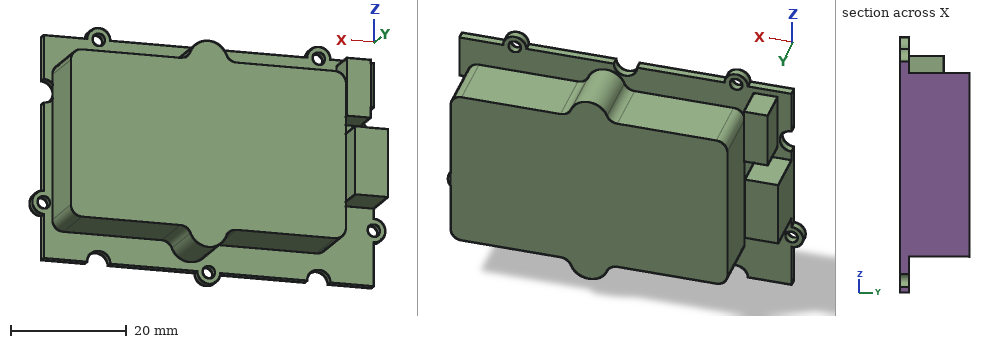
import cadquery as cq
import math

BOARD_WIDTH = 60.0
BOARD_HEIGHT = 40.0
BOARD_THICKNESS = 1.6

EAR_RADIUS = 2.1
EAR_HOLE_DIAMETER = 2.2
EDGE_X = BOARD_WIDTH / 2
EDGE_Z = BOARD_HEIGHT / 2
SIDE_OFFSET_X = 20.0
SIDE_OFFSET_Z = 10.0
EAR_CENTERS = [
    (-SIDE_OFFSET_X, EDGE_Z),
    (SIDE_OFFSET_X, EDGE_Z),
    (-EDGE_X, -SIDE_OFFSET_Z),
    (EDGE_X, -SIDE_OFFSET_Z),
    (0, -EDGE_Z),
]
NOTCH_CENTERS = [(x, -z) for x, z in EAR_CENTERS]

TOTAL_DEPTH = 12.04
HOUSING_WIDTH = 50.0
HOUSING_HEIGHT = 30.0
HOUSING_CENTER_X = 3.45
HOUSING_CORNER_RADIUS = 2.0
BOSS_RADIUS = 3.5
BOSS_FILLET_RADIUS = 2.0

LARGE_CONNECTOR_LEFT = -EDGE_X
LARGE_CONNECTOR_WIDTH = 6.0
LARGE_CONNECTOR_CENTER_Z = 0.0
LARGE_CONNECTOR_HEIGHT = 12.2
LARGE_CONNECTOR_DEPTH = 8.0

SMALL_CONNECTOR_LEFT = -27.5
SMALL_CONNECTOR_WIDTH = 4.3
SMALL_CONNECTOR_CENTER_Z = 13.65
SMALL_CONNECTOR_HEIGHT = 10.4
SMALL_CONNECTOR_DEPTH = 6.0


def plane_at(y):
    """XZ sketch plane at depth y: local x is X, local y is Z, extrusion runs toward -Y."""
    return cq.Workplane("XZ", origin=(0, y, 0))


def make_board():
    notches = plane_at(0).pushPoints(NOTCH_CENTERS).circle(EAR_RADIUS).extrude(-BOARD_THICKNESS)
    ears = plane_at(0).pushPoints(EAR_CENTERS).circle(EAR_RADIUS).extrude(-BOARD_THICKNESS)
    holes = (
        plane_at(0)
        .pushPoints(EAR_CENTERS)
        .circle(EAR_HOLE_DIAMETER / 2)
        .extrude(-BOARD_THICKNESS)
    )
    plate = plane_at(0).rect(BOARD_WIDTH, BOARD_HEIGHT).extrude(-BOARD_THICKNESS)
    return plate.union(ears).cut(notches).cut(holes)


def make_boss(side):
    """Boss centred on the top (side = 1) or bottom (side = -1) of the housing, with blends."""
    edge_z = HOUSING_HEIGHT / 2
    center_distance = BOSS_RADIUS + BOSS_FILLET_RADIUS
    foot_x = math.sqrt(center_distance**2 - BOSS_FILLET_RADIUS**2)
    junction_x = foot_x * BOSS_RADIUS / center_distance
    junction_z = edge_z + BOSS_FILLET_RADIUS * BOSS_RADIUS / center_distance
    half_angle = math.acos(BOSS_FILLET_RADIUS / center_distance) / 2
    flank_x = foot_x - BOSS_FILLET_RADIUS * math.sin(half_angle)
    flank_z = edge_z + BOSS_FILLET_RADIUS * (1 - math.cos(half_angle))

    def point(x, z):
        return (HOUSING_CENTER_X + x, side * z)

    return (
        plane_at(BOARD_THICKNESS)
        .moveTo(*point(-foot_x, 0))
        .lineTo(*point(-foot_x, edge_z))
        .threePointArc(point(-flank_x, flank_z), point(-junction_x, junction_z))
        .threePointArc(point(0, edge_z + BOSS_RADIUS), point(junction_x, junction_z))
        .threePointArc(point(flank_x, flank_z), point(foot_x, edge_z))
        .lineTo(*point(foot_x, 0))
        .close()
        .extrude(-(TOTAL_DEPTH - BOARD_THICKNESS))
    )


def make_housing():
    block = (
        plane_at(BOARD_THICKNESS)
        .center(HOUSING_CENTER_X, 0)
        .rect(HOUSING_WIDTH, HOUSING_HEIGHT)
        .extrude(-(TOTAL_DEPTH - BOARD_THICKNESS))
        .edges("|Y")
        .fillet(HOUSING_CORNER_RADIUS)
    )
    return block.union(make_boss(1)).union(make_boss(-1))


def make_connector(left, width, center_z, height, depth):
    return (
        plane_at(BOARD_THICKNESS)
        .center(left + width / 2, center_z)
        .rect(width, height)
        .extrude(-depth)
    )


large_connector = make_connector(
    LARGE_CONNECTOR_LEFT,
    LARGE_CONNECTOR_WIDTH,
    LARGE_CONNECTOR_CENTER_Z,
    LARGE_CONNECTOR_HEIGHT,
    LARGE_CONNECTOR_DEPTH,
)
small_connector = make_connector(
    SMALL_CONNECTOR_LEFT,
    SMALL_CONNECTOR_WIDTH,
    SMALL_CONNECTOR_CENTER_Z,
    SMALL_CONNECTOR_HEIGHT,
    SMALL_CONNECTOR_DEPTH,
)

result = make_board().union(make_housing()).union(large_connector).union(small_connector)